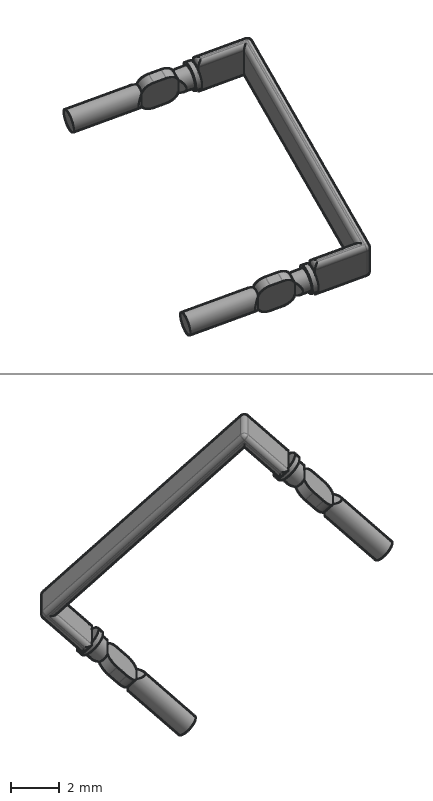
import cadquery as cq
import math

overall_width = 12.68
overall_length = 8.25
strip_height = 2.0
strip_thickness = 0.51
strip_depth = 2.55
strip_fillet = 0.22

pin_diameter = 1.01
flange_diameter = 1.25
flange_thickness = 0.27
shoulder_length = 0.38

paddle_thickness = strip_thickness
paddle_length = 1.65
paddle_height = 1.7
paddle_crest_length = 0.56

pin_radius = pin_diameter / 2
pin_x = (overall_width - flange_diameter) / 2
strip_width = 2 * pin_x + strip_thickness
flange_back_y = -strip_depth
flange_front_y = flange_back_y - flange_thickness
ramp_length = pin_radius - paddle_thickness / 2
paddle_back_y = flange_front_y - shoulder_length - ramp_length
paddle_front_y = paddle_back_y - paddle_length
paddle_center_y = (paddle_back_y + paddle_front_y) / 2


def cylinder_along_y(diameter, start_y, end_y):
    """Cylinder on the pin axis, from start_y toward -Y to end_y."""
    return cq.Workplane("XZ", origin=(0, start_y, 0)).circle(diameter / 2).extrude(start_y - end_y)


def make_strip():
    inner_width = strip_width - 2 * strip_thickness
    outer = cq.Workplane("XY").box(strip_width, strip_depth, strip_height)
    outer = outer.translate((0, -strip_depth / 2, 0))
    opening = cq.Workplane("XY").box(inner_width, strip_depth, strip_height)
    opening = opening.translate((0, -strip_depth / 2 - strip_thickness, 0))
    strip = outer.cut(opening)
    outer_corners = strip.faces(">Y").edges("|Z")
    rims = strip.faces("|Z").edges()
    return strip.newObject(outer_corners.vals() + rims.vals()).fillet(strip_fillet)


def make_side_notch():
    """Trapezoidal cutter that flattens the +X side of a pin, ramps included."""
    flat_x = paddle_thickness / 2
    return (
        cq.Workplane("XY")
        .moveTo(flat_x, paddle_back_y)
        .lineTo(pin_radius, paddle_back_y + ramp_length)
        .lineTo(pin_radius, paddle_front_y - ramp_length)
        .lineTo(flat_x, paddle_front_y)
        .close()
        .extrude(pin_radius, both=True)
    )


def make_paddle():
    """Flat plate with a short straight crest and arcs tangent to it, above and below."""
    crest_z = paddle_height / 2
    half_crest = paddle_crest_length / 2
    half_length = paddle_length / 2
    root_z = math.sqrt(pin_radius**2 - (paddle_thickness / 2) ** 2)
    arc_run = half_length - half_crest
    arc_rise = crest_z - root_z
    arc_radius = (arc_run**2 + arc_rise**2) / (2 * arc_rise)
    return (
        cq.Workplane("YZ", origin=(0, paddle_center_y, 0))
        .moveTo(-half_length, -root_z)
        .lineTo(-half_length, root_z)
        .radiusArc((-half_crest, crest_z), arc_radius)
        .lineTo(half_crest, crest_z)
        .radiusArc((half_length, root_z), arc_radius)
        .lineTo(half_length, -root_z)
        .radiusArc((half_crest, -crest_z), arc_radius)
        .lineTo(-half_crest, -crest_z)
        .radiusArc((-half_length, -root_z), arc_radius)
        .close()
        .extrude(paddle_thickness / 2, both=True)
    )


def make_pin():
    flange = cylinder_along_y(flange_diameter, flange_back_y, flange_front_y)
    shank = cylinder_along_y(pin_diameter, flange_front_y, -overall_length)
    notch = make_side_notch()
    shank = shank.cut(notch).cut(notch.mirror("YZ"))
    return flange.union(shank).union(make_paddle())


pin = make_pin()
result = make_strip()
for side in (-1, 1):
    result = result.union(pin.translate((side * pin_x, 0, 0)))